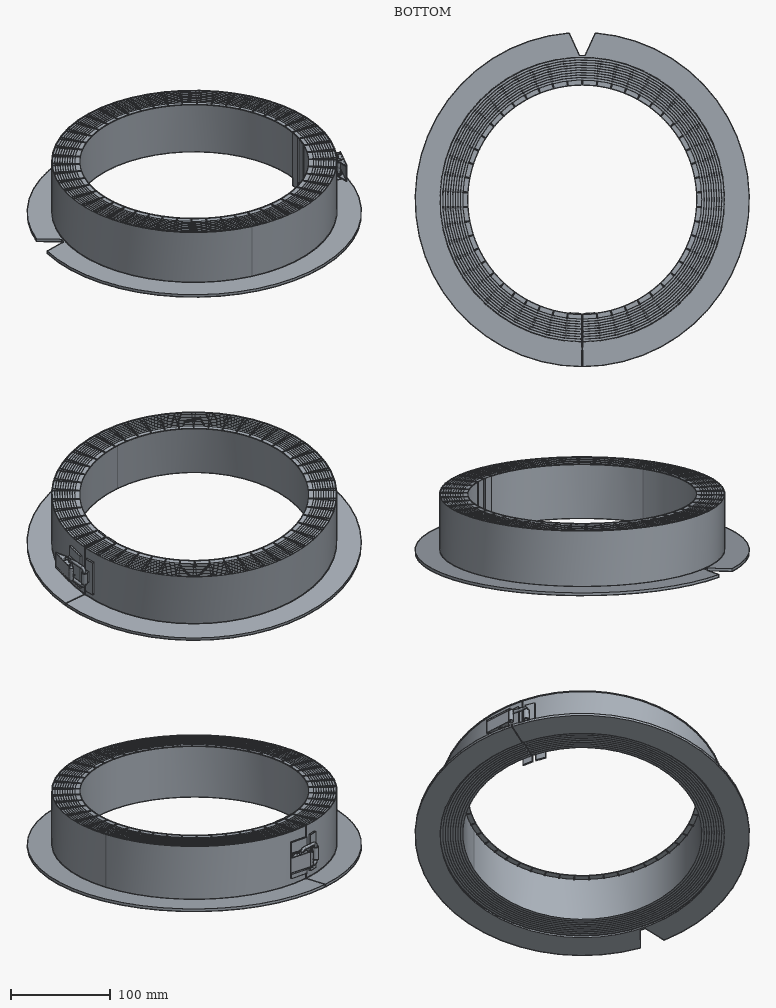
import cadquery as cq
import math

flange_radius = 167.5
height = 61.0
flange_thickness = 3.0
sheet = 0.7
drum_radius = 143.0
drum_bore = drum_radius - sheet
slit_width = 0.7

tab_count = 50
tab_pitch = 360.0 / tab_count
tab_width = 14.0
tab_inner_radius = 114.5
end_flap_width = 10.7
end_flap_thickness = 1.5
end_flap_inset = 0.7

notch_root_y = -144.3
notch_root_half_width = 2.7
notch_mouth_half_width = 13.0

layer_count = 9
layer_thickness = 2.5
layer_gap = 0.15
liner_inner_radius = drum_bore - layer_count * layer_thickness

latch_z = 30.0
plate_height = 39.0
plate_thickness = 2.0
axis_y = 149.3

bail_wire_diameter = 3.5
bail_catch_x = -7.5
bail_lever_x = 14.0
bail_bend_radius = 3.5
bail_height = 25.0

catch_far_x, catch_slit_x = -14.0, -4.0
curl_diameter = 6.0
curl_height = 13.0
foot_width = 3.0

base_slit_x, base_far_x = 2.5, 23.0
pivot_x = 20.0
pivot_diameter = 3.1
ear_radius = 3.0
ear_thickness = 1.5

lever_width = 18.0
lever_sheet = 1.0
lever_front = (7.0, 157.0)
lever_tip = (35.0, 151.5)
lever_heel = (23.5, 147.3)
lever_toe = (11.7, 146.0)
cheek_front_x = 9.7
bail_hole_diameter = 4.5
lever_roll_diameter = 4.7
lever_roll_width = 15.0


def ring(outer_radius, inner_radius, bottom, top):
    """Flat-ended ring about the Z axis."""
    return (
        cq.Workplane("XY", origin=(0, 0, bottom))
        .circle(outer_radius)
        .circle(inner_radius)
        .extrude(top - bottom)
    )


def block(x_range, y_range, z_range):
    """Box between the given limits."""
    size = [high - low for low, high in (x_range, y_range, z_range)]
    return cq.Workplane("XY").box(*size, centered=False).translate((x_range[0], y_range[0], z_range[0]))


def slit():
    """Radial opening that lets the ring be spread, on the +Y side."""
    half = slit_width / 2
    return block((-half, half), (0, flange_radius + 3.5), (-3.5, height + 3.5))


def tab(angle):
    """One tab, of constant width, reaching inward from the drum wall."""
    strip = block(
        (tab_inner_radius - 3.5, (drum_radius + drum_bore) / 2),
        (-tab_width / 2, tab_width / 2),
        (height - sheet, height),
    )
    return strip.rotate((0, 0, 0), (0, 0, 1), angle)


def end_flap(angle):
    """Flap that hangs from the inner edge of a tab down to the bottom of the housing."""
    inner = tab_inner_radius - end_flap_inset
    flap = block(
        (inner, inner + end_flap_thickness),
        (-end_flap_width / 2, end_flap_width / 2),
        (0, height),
    )
    return flap.rotate((0, 0, 0), (0, 0, 1), angle)


def hinge_notch():
    """Tapered notch in the flange; the drum wall behind it stays whole."""
    mouth_y = -math.sqrt(flange_radius**2 - notch_mouth_half_width**2)
    flare = (notch_mouth_half_width - notch_root_half_width) / (notch_root_y - mouth_y)
    outside_y = -flange_radius - 3.5
    outside_half_width = notch_root_half_width + flare * (notch_root_y - outside_y)
    return (
        cq.Workplane("XY")
        .polyline([
            (-notch_root_half_width, notch_root_y),
            (notch_root_half_width, notch_root_y),
            (outside_half_width, outside_y),
            (-outside_half_width, outside_y),
        ])
        .close()
        .extrude(flange_thickness)
    )


def make_housing():
    flange = ring(flange_radius, drum_bore, 0, flange_thickness)
    wall = ring(drum_radius, drum_bore, 0, height)
    tabs = [tab(90 + (i + 0.5) * tab_pitch).val() for i in range(tab_count)]
    tab_bore = cq.Workplane("XY").circle(tab_inner_radius).extrude(height)
    body = cq.Workplane(wall.val().fuse(*tabs)).cut(tab_bore).union(flange)
    for side in (-1, 1):
        body = body.union(end_flap(90 + side * tab_pitch / 2))
    return body.cut(hinge_notch()).cut(slit())


def make_liner():
    """One strip folded back and forth: concentric layers joined alternately at the slit."""
    bottom, top = flange_thickness, height - sheet
    body = ring(drum_bore, liner_inner_radius, bottom, top).cut(slit())
    fold = layer_thickness
    for i in range(1, layer_count):
        radius = drum_bore - i * layer_thickness
        gap = ring(radius + layer_gap / 2, radius - layer_gap / 2, bottom, top)
        joined_side = (0, fold) if i % 2 else (-fold, 0)
        joint = block(joined_side, (0, drum_radius), (bottom, top))
        body = body.cut(gap.cut(joint))
    return body


def latch_plane(x=0.0, y=0.0, z=0.0):
    """Horizontal plane at latch height, with its origin moved by x, y, z."""
    return cq.Workplane("XY", origin=(x, y, latch_z + z))


def post(x, y, diameter, length):
    """Upright cylinder centred at latch height."""
    return latch_plane(x, y).circle(diameter / 2).extrude(length / 2, both=True)


def drum_space():
    """The drum's full round volume, which latch parts must stay out of."""
    return cq.Workplane("XY").circle(drum_radius).extrude(height)


def mounting_plate(far_x, slit_x):
    """Flat plate that touches the drum wall at far_x and stands off it towards the slit."""
    tilt = math.asin(far_x / drum_radius)
    length = abs(far_x - slit_x) / math.cos(tilt)
    middle = -math.copysign(length / 2, far_x)
    plate = latch_plane(middle, drum_radius + plate_thickness / 2).box(length, plate_thickness, plate_height)
    return plate.rotate((0, 0, 0), (0, 0, 1), -math.degrees(tilt))


def make_catch():
    """Mounting plate with a curl that holds the bail."""
    foot = latch_plane(bail_catch_x, (drum_radius + axis_y) / 2).box(
        foot_width, axis_y - drum_radius, curl_height
    )
    curl = post(bail_catch_x, axis_y, curl_diameter, curl_height)
    bar_hole = post(bail_catch_x, axis_y, bail_wire_diameter, curl_height)
    body = mounting_plate(catch_far_x, catch_slit_x).union(foot).union(curl)
    return body.cut(bar_hole).cut(drum_space())


def make_bail():
    """Closed rectangular wire loop with rounded corners."""
    half_rise = (bail_height - bail_wire_diameter) / 2
    middle_x = (bail_lever_x + bail_catch_x) / 2
    half_length = (bail_lever_x - bail_catch_x) / 2
    bend = bail_bend_radius
    straight_x = half_length - bend
    straight_z = half_rise - bend
    path = (
        cq.Workplane("XZ", origin=(middle_x, axis_y, latch_z))
        .moveTo(-half_length, 0)
        .lineTo(-half_length, straight_z)
        .tangentArcPoint((bend, bend))
        .lineTo(straight_x, half_rise)
        .tangentArcPoint((bend, -bend))
        .lineTo(half_length, -straight_z)
        .tangentArcPoint((-bend, -bend))
        .lineTo(-straight_x, -half_rise)
        .tangentArcPoint((-bend, bend))
        .close()
    )
    wire_section = latch_plane(bail_catch_x, axis_y).circle(bail_wire_diameter / 2)
    return wire_section.sweep(path)


def make_base():
    """Mounting plate with two ears that carry the pivot pin."""
    body = mounting_plate(base_far_x, base_slit_x)
    ear_outer = lever_width / 2 - lever_sheet
    ear_root_height = axis_y - drum_radius + ear_radius
    for bottom in (-ear_outer, ear_outer - ear_thickness):
        ear = (
            latch_plane(pivot_x, axis_y, bottom)
            .moveTo(-ear_radius, 0)
            .threePointArc((0, ear_radius), (ear_radius, 0))
            .lineTo(ear_radius, -ear_root_height)
            .lineTo(-ear_radius, -ear_root_height)
            .close()
            .extrude(ear_thickness)
        )
        body = body.union(ear.cut(drum_space()))
    return body.cut(make_pin())


def make_pin():
    return post(pivot_x, axis_y, pivot_diameter, lever_width)


def handle_y(x):
    """Y of the handle's outer face at x."""
    slope = (lever_tip[1] - lever_front[1]) / (lever_tip[0] - lever_front[0])
    return lever_front[1] + slope * (x - lever_front[0])


def make_lever():
    """Handle with a rolled front edge and two side plates."""
    handle = (
        latch_plane()
        .polyline([
            lever_front,
            lever_tip,
            (lever_tip[0], lever_tip[1] - lever_sheet),
            (lever_front[0], lever_front[1] - lever_sheet),
        ])
        .close()
        .extrude(lever_width / 2, both=True)
    )
    roll_y = lever_front[1] - lever_roll_diameter / 2
    body = handle.union(post(lever_front[0], roll_y, lever_roll_diameter, lever_roll_width))
    for bottom in (-lever_width / 2, lever_width / 2 - lever_sheet):
        cheek = (
            latch_plane(z=bottom)
            .polyline([
                (cheek_front_x, handle_y(cheek_front_x)),
                lever_tip,
                (lever_tip[0], lever_tip[1] - lever_sheet),
                lever_heel,
                lever_toe,
            ])
            .close()
            .extrude(lever_sheet)
        )
        body = body.union(cheek)
    bail_hole = post(bail_lever_x, axis_y, bail_hole_diameter, lever_width)
    return body.cut(bail_hole).cut(make_pin())


housing = make_housing()
liner = make_liner()
catch = make_catch()
bail = make_bail()
base = make_base()
lever = make_lever()
pin = make_pin()

result = cq.Compound.makeCompound([
    housing.solids().val(),
    liner.solids().val(),
    catch.solids().val(),
    bail.solids().val(),
    base.solids().val(),
    lever.solids().val(),
    pin.solids().val(),
])